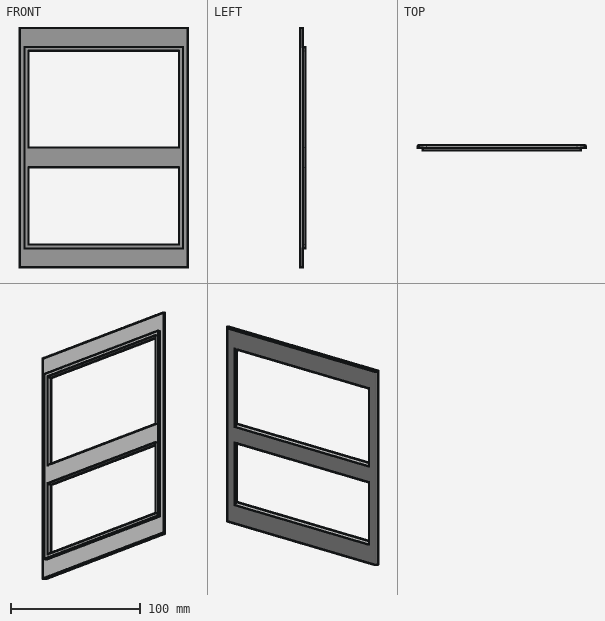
import cadquery as cq

plate_width = 130.0
plate_height = 184.8
plate_thickness = 2.4
edge_radius = 1.8

panel_width = 122.0
panel_height = 155.2
panel_thickness = 2.0

rim_width = 3.0
crossbar_height = 15.3
lower_window_height = 59.5
window_width = panel_width - 2 * rim_width
upper_window_height = panel_height - 2 * rim_width - crossbar_height - lower_window_height
lower_window_bottom = -panel_height / 2 + rim_width
upper_window_bottom = lower_window_bottom + lower_window_height + crossbar_height


def block(width, y_start, thickness, bottom, height):
    """Box centred on X, growing toward +Y from y_start and up from bottom."""
    return cq.Workplane("XY").box(width, thickness, height, centered=(True, False, False)).translate(
        (0, y_start, bottom)
    )


plate = block(plate_width, 0, plate_thickness, -plate_height / 2, plate_height)
plate = plate.faces(">Y").edges("|Z").fillet(edge_radius)
panel = block(panel_width, -panel_thickness, panel_thickness, -panel_height / 2, panel_height)
result = plate.union(panel)

total_thickness = plate_thickness + panel_thickness
for bottom, height in (
    (lower_window_bottom, lower_window_height),
    (upper_window_bottom, upper_window_height),
):
    result = result.cut(block(window_width, -panel_thickness, total_thickness, bottom, height))